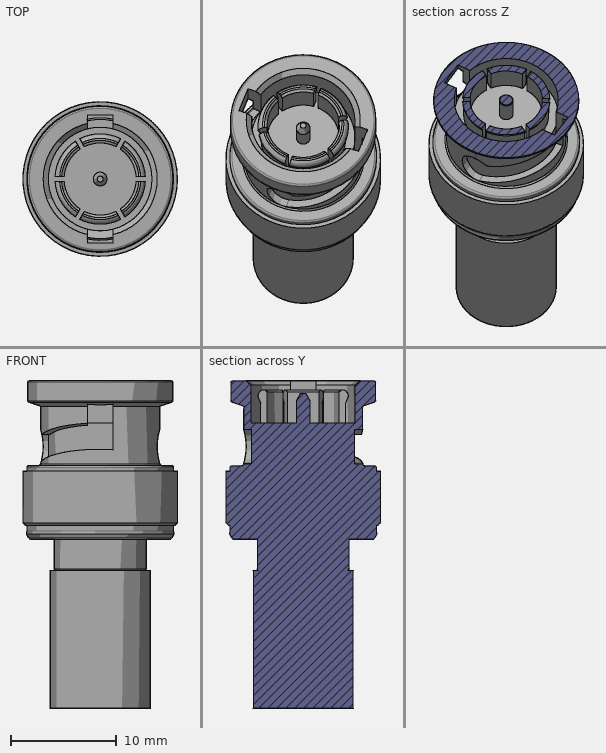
import cadquery as cq
import math

TOTAL_HEIGHT = 30.95
SLEEVE_TOP_Z = 13.03
BODY_BOTTOM_Z = 15.97
GRIP_BOTTOM_Z = 17.27
GRIP_TOP_Z = 22.4
BODY_TOP_Z = 22.93
CAVITY_FLOOR_Z = 26.95
FLANGE_BOTTOM_Z = 28.9
FLANGE_CONE_HEIGHT = 0.37

SLEEVE_RADIUS = 4.75
STEM_RADIUS = 4.35
BODY_RADIUS = 6.93
GRIP_RADIUS = 7.3
NECK_RADIUS = 5.63
FLANGE_RADIUS = 6.87

EDGE_BREAK = 0.12
TOP_EDGE_ROUND = 0.2
NECK_FLARE = 0.15
GRIP_CHAMFER = 0.25

RIM_RADIUS = 7.0
RIM_BEVEL_RADIUS = 6.8
RIM_BOTTOM_RADIUS = 6.62
RIM_BEVEL_Z = 16.15
RIM_Z = 16.45
RIM_FLARE_TOP_Z = 16.77

CAVITY_RADIUS = 4.9
MOUTH_RADIUS = 5.4
MOUTH_DEPTH = 0.4

KEY_WIDTH = 2.4
KEYWAY_REACH = 6.05
LOCK_HOLE_RADIUS = 1.6
LOCK_HOLE_Z = 24.73
RAMP_ANGLE = 14.0

FINGER_TOP_Z = 30.08
FINGER_OUTER_RADIUS = 4.02
FINGER_BULGE_RADIUS = 4.27
FINGER_INNER_RADIUS = 3.4
FINGER_TIP_OUTER_RADIUS = 3.85
FINGER_TIP_INNER_RADIUS = 3.65
FINGER_LIP_HEIGHT = 0.2
FINGER_BULGE_DROP = 0.62
FINGER_BULGE_HEIGHT = 1.25
FINGER_SLOT_WIDTH = 0.45
FINGER_COUNT = 6
PIN_RADIUS = 0.65
PIN_TIP_RADIUS = 0.28
PIN_SHOULDER_Z = 29.1
PIN_TOP_Z = 29.75


def revolve_profile(profile):
    """Turn a closed (radius, height) profile about the Z axis."""
    return profile.close().revolve(360, (0, 0, 0), (0, 1, 0))


def outer_shell():
    """Solid sleeve, stem, coupling body, bayonet neck and flange."""
    lower_points = [
        (0, 0),
        (SLEEVE_RADIUS, 0),
        (SLEEVE_RADIUS, SLEEVE_TOP_Z),
        (STEM_RADIUS - EDGE_BREAK, SLEEVE_TOP_Z),
        (STEM_RADIUS, SLEEVE_TOP_Z + EDGE_BREAK),
        (STEM_RADIUS, BODY_BOTTOM_Z),
        (RIM_BOTTOM_RADIUS, BODY_BOTTOM_Z),
        (RIM_BEVEL_RADIUS, RIM_BEVEL_Z),
        (RIM_RADIUS, RIM_Z),
        (BODY_RADIUS, RIM_FLARE_TOP_Z),
        (BODY_RADIUS, GRIP_BOTTOM_Z),
        (GRIP_RADIUS - GRIP_CHAMFER, GRIP_BOTTOM_Z),
        (GRIP_RADIUS, GRIP_BOTTOM_Z + GRIP_CHAMFER),
        (GRIP_RADIUS, GRIP_TOP_Z),
        (BODY_RADIUS, GRIP_TOP_Z),
        (BODY_RADIUS, BODY_TOP_Z - TOP_EDGE_ROUND),
    ]
    profile = (
        cq.Workplane("XZ")
        .polyline(lower_points)
        .radiusArc((BODY_RADIUS - TOP_EDGE_ROUND, BODY_TOP_Z), -TOP_EDGE_ROUND)
        .lineTo(NECK_RADIUS + NECK_FLARE, BODY_TOP_Z)
        .lineTo(NECK_RADIUS, BODY_TOP_Z + NECK_FLARE)
        .lineTo(NECK_RADIUS, FLANGE_BOTTOM_Z - FLANGE_CONE_HEIGHT)
        .lineTo(FLANGE_RADIUS - EDGE_BREAK, FLANGE_BOTTOM_Z)
        .lineTo(FLANGE_RADIUS, FLANGE_BOTTOM_Z + EDGE_BREAK)
        .lineTo(FLANGE_RADIUS, TOTAL_HEIGHT - TOP_EDGE_ROUND)
        .radiusArc((FLANGE_RADIUS - TOP_EDGE_ROUND, TOTAL_HEIGHT), -TOP_EDGE_ROUND)
        .lineTo(0, TOTAL_HEIGHT)
    )
    return revolve_profile(profile)


def cavity():
    """Round cavity with a flared mouth, open at the top."""
    points = [
        (0, CAVITY_FLOOR_Z),
        (CAVITY_RADIUS, CAVITY_FLOOR_Z),
        (CAVITY_RADIUS, TOTAL_HEIGHT - MOUTH_DEPTH),
        (MOUTH_RADIUS, TOTAL_HEIGHT),
        (0, TOTAL_HEIGHT),
    ]
    return revolve_profile(cq.Workplane("XZ").polyline(points))


def bayonet_track():
    """Keyway on the -Y side, with a ramp leading down to the lock hole on the -X side."""
    slope = math.tan(math.radians(RAMP_ANGLE))
    ramp_rise = KEYWAY_REACH * slope
    ramp_height = KEY_WIDTH / math.cos(math.radians(RAMP_ANGLE))
    ramp_start_z = LOCK_HOLE_Z - LOCK_HOLE_RADIUS / math.cos(math.radians(RAMP_ANGLE))
    tangent_y = -LOCK_HOLE_RADIUS * math.sin(math.radians(RAMP_ANGLE))
    tangent_z = ramp_start_z - tangent_y * slope
    ramp_points = [
        (tangent_y, tangent_z),
        (-KEYWAY_REACH, ramp_start_z + ramp_rise),
        (-KEYWAY_REACH, ramp_start_z + ramp_rise + ramp_height),
        (tangent_y, tangent_z + ramp_height),
    ]
    track_start_x = -KEYWAY_REACH
    ramp_plane = cq.Workplane("YZ", origin=(track_start_x, 0, 0))
    ramp = ramp_plane.polyline(ramp_points).close().extrude(KEY_WIDTH / 2 - track_start_x)
    lock_hole = ramp_plane.center(0, LOCK_HOLE_Z).circle(LOCK_HOLE_RADIUS).extrude(-track_start_x)
    keyway_bottom_z = LOCK_HOLE_Z + LOCK_HOLE_RADIUS
    keyway = (
        cq.Workplane("XY", origin=(0, -KEYWAY_REACH / 2, keyway_bottom_z))
        .rect(KEY_WIDTH, KEYWAY_REACH)
        .extrude(TOTAL_HEIGHT - keyway_bottom_z)
    )
    core = cq.Workplane("XY").circle(CAVITY_RADIUS).extrude(TOTAL_HEIGHT)
    return ramp.union(lock_hole).union(keyway).cut(core)


def contact_fingers():
    """Ring with a bulged outer lip, split into equal spring fingers."""
    bulge_z = FINGER_TOP_Z - FINGER_BULGE_DROP
    profile = (
        cq.Workplane("XZ")
        .moveTo(FINGER_INNER_RADIUS, CAVITY_FLOOR_Z)
        .lineTo(FINGER_OUTER_RADIUS, CAVITY_FLOOR_Z)
        .lineTo(FINGER_OUTER_RADIUS, FINGER_TOP_Z - FINGER_BULGE_HEIGHT)
        .lineTo(FINGER_BULGE_RADIUS, bulge_z)
        .radiusArc((FINGER_TIP_OUTER_RADIUS, FINGER_TOP_Z), -FINGER_BULGE_DROP)
        .lineTo(FINGER_TIP_INNER_RADIUS, FINGER_TOP_Z)
        .lineTo(FINGER_INNER_RADIUS, FINGER_TOP_Z - FINGER_LIP_HEIGHT)
    )
    slots = (
        cq.Workplane("XY", origin=(0, 0, CAVITY_FLOOR_Z))
        .polarArray(FINGER_OUTER_RADIUS, 0, 360, FINGER_COUNT)
        .rect(FINGER_OUTER_RADIUS, FINGER_SLOT_WIDTH)
        .extrude(FINGER_TOP_Z - CAVITY_FLOOR_Z)
    )
    return revolve_profile(profile).cut(slots)


def centre_pin():
    """Contact pin with a tapered tip."""
    points = [
        (0, CAVITY_FLOOR_Z),
        (PIN_RADIUS, CAVITY_FLOOR_Z),
        (PIN_RADIUS, PIN_SHOULDER_Z),
        (PIN_TIP_RADIUS, PIN_TOP_Z),
        (0, PIN_TOP_Z),
    ]
    return revolve_profile(cq.Workplane("XZ").polyline(points))


result = outer_shell().cut(cavity())
for track_angle in (0, 180):
    result = result.cut(bayonet_track().rotate((0, 0, 0), (0, 0, 1), track_angle))
result = result.union(contact_fingers()).union(centre_pin())